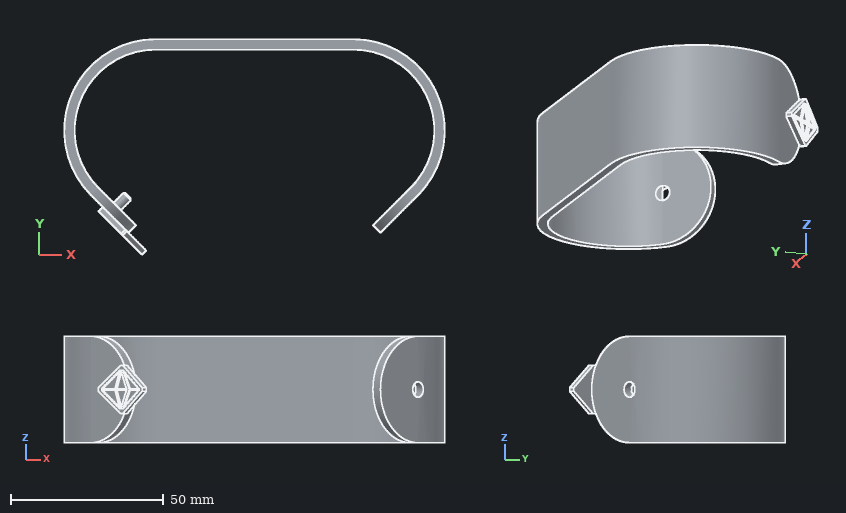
import cadquery as cq
import math

overall_width = 125.0
band_height = 35.0
band_thickness = 3.5
bend_radius = 30.0
bend_angle = 135.0
straight_half = overall_width / 2 - bend_radius
tongue_length = band_height / 2
tongue_slope = 180.0 - bend_angle

pin_diameter = 3.5
pin_length = 5.0
pin_chamfer = 0.4
pin_distance = 8.7
hole_diameter = 5.0

diamond_length = 20.2
diamond_height = 16.0
diamond_thickness = 2.0
diamond_distance = 15.6
end_flat_half = 0.6
top_flat_half = 0.4
top_flat_offset = 0.7
pocket_depth = 0.5
middle_bar_half = 0.2

facet_pockets = [
    (-8.6, -2.4, -0.2, 6.2),
    (-2.0, 2.9, 0.2, 6.2),
    (4.1, 8.5, 1.2, 6.2),
]

slope_cos = math.cos(math.radians(tongue_slope))
slope_sin = math.sin(math.radians(tongue_slope))
bend_end = (-straight_half - bend_radius * slope_cos, -bend_radius * slope_sin, 0)

tongue_plane = cq.Plane(
    origin=bend_end,
    xDir=(slope_sin, -slope_cos, 0),
    normal=(-slope_cos, -slope_sin, 0),
)


def make_bent_strip():
    """Back and both bends, centred on Z = 0."""

    def polar(radius, angle):
        angle = math.radians(angle)
        return (straight_half + radius * math.cos(angle), radius * math.sin(angle))

    def mirrored(point):
        return (-point[0], point[1])

    inner_radius = bend_radius - band_thickness
    end_angle = 90.0 - bend_angle
    mid_angle = 90.0 - bend_angle / 2
    outer_mid, outer_end = polar(bend_radius, mid_angle), polar(bend_radius, end_angle)
    inner_mid, inner_end = polar(inner_radius, mid_angle), polar(inner_radius, end_angle)
    return (
        cq.Workplane("XY")
        .workplane(offset=-band_height / 2)
        .moveTo(-straight_half, bend_radius)
        .lineTo(straight_half, bend_radius)
        .threePointArc(outer_mid, outer_end)
        .lineTo(*inner_end)
        .threePointArc(inner_mid, (straight_half, inner_radius))
        .lineTo(-straight_half, inner_radius)
        .threePointArc(mirrored(inner_mid), mirrored(inner_end))
        .lineTo(*mirrored(outer_end))
        .threePointArc(mirrored(outer_mid), (-straight_half, bend_radius))
        .close()
        .extrude(band_height)
    )


def make_tongue():
    """Half-round flat end of the band, on the left side."""
    return (
        cq.Workplane(tongue_plane)
        .moveTo(0, -band_height / 2)
        .threePointArc((tongue_length, 0), (0, band_height / 2))
        .close()
        .extrude(-band_thickness)
    )


def make_hole_cutter():
    """Through hole at the end of the bend, on the left side."""
    return (
        cq.Workplane(tongue_plane)
        .circle(hole_diameter / 2)
        .extrude(band_thickness, both=True)
    )


def make_pin():
    """Chamfered pin pointing inward from the left tongue."""
    return (
        cq.Workplane(tongue_plane)
        .center(pin_distance, 0)
        .circle(pin_diameter / 2)
        .extrude(-(band_thickness + pin_length))
        .faces(cq.DirectionMinMaxSelector(-tongue_plane.zDir))
        .chamfer(pin_chamfer)
    )


def make_diamond():
    """Diamond plate with blunt corners and recessed triangular facets."""
    half_length = diamond_length / 2
    half_height = diamond_height / 2
    plate = (
        cq.Workplane(tongue_plane)
        .center(diamond_distance, 0)
        .polyline([
            (half_length, -end_flat_half),
            (half_length, end_flat_half),
            (top_flat_offset + top_flat_half, half_height),
            (top_flat_offset - top_flat_half, half_height),
            (-half_length, end_flat_half),
            (-half_length, -end_flat_half),
            (top_flat_offset - top_flat_half, -half_height),
            (top_flat_offset + top_flat_half, -half_height),
        ])
        .close()
        .extrude(diamond_thickness)
    )
    for base_start, base_end, tip_offset, tip_height in facet_pockets:
        for side in (1, -1):
            pocket = (
                cq.Workplane(tongue_plane)
                .workplane(offset=diamond_thickness)
                .center(diamond_distance, 0)
                .polyline([
                    (base_start, side * middle_bar_half),
                    (base_end, side * middle_bar_half),
                    (tip_offset, side * tip_height),
                ])
                .close()
                .extrude(-pocket_depth)
            )
            plate = plate.cut(pocket)
    return plate


left_tongue = make_tongue()
right_tongue = left_tongue.mirror("YZ")
right_hole = make_hole_cutter().mirror("YZ")

band = make_bent_strip().union(left_tongue).union(right_tongue).cut(right_hole)
result = band.union(make_pin()).union(make_diamond())